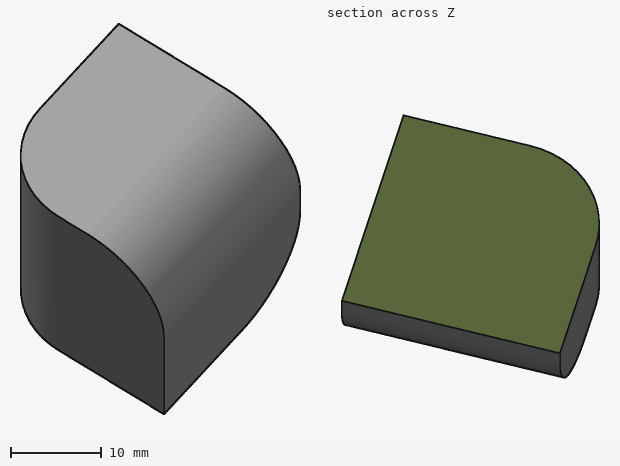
import cadquery as cq

cube_side = 25.0
round_radius = 10.5


def round_edge(body, edge_direction, corner_selector):
    """Round the one cube edge along edge_direction that lies farthest toward corner_selector."""
    return body.edges(edge_direction).edges(corner_selector).fillet(round_radius)


result = cq.Workplane("XY").box(cube_side, cube_side, cube_side)

result = round_edge(result, "|Z", "<(1, 1, 0)")
result = round_edge(result, "|Y", ">(1, 0, 1)")
result = round_edge(result, "|X", ">(0, 1, -1)")